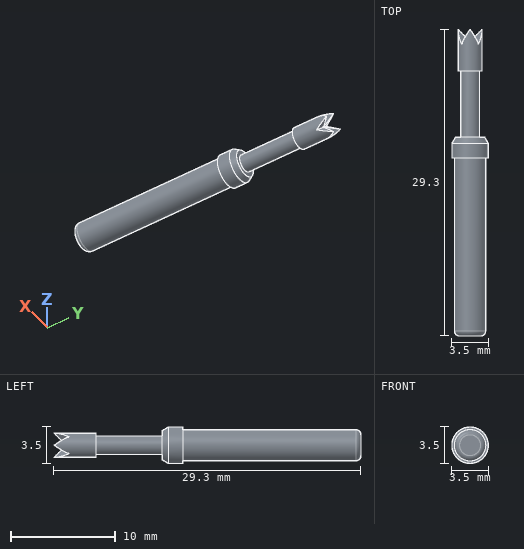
import cadquery as cq
import math

overall_length = 29.3

barrel_radius = 1.5
barrel_length = 17.0
barrel_end_fillet = 0.5

collar_radius = 1.75
collar_length = 2.0
collar_taper_length = 0.6
collar_taper_angle = 30.0

head_radius = 1.15
head_length = 4.0
plunger_radius = 0.9

groove_axis_depth = head_radius
groove_rim_depth = 1.4
groove_directions = (45.0, 135.0, 225.0, 315.0)
groove_overcut = 2.0

tip_y = overall_length - barrel_length
head_start_y = tip_y - head_length
collar_end_radius = collar_radius - collar_taper_length * math.tan(math.radians(collar_taper_angle))


def cylinder_along_y(radius, start_y, end_y):
    base = cq.Workplane("XZ", origin=(0, start_y, 0))
    return base.circle(radius).extrude(start_y - end_y)


def make_barrel():
    barrel = cylinder_along_y(barrel_radius, -barrel_length, 0)
    return barrel.faces("<Y").edges().fillet(barrel_end_fillet)


def make_collar():
    half_profile = [
        (0, 0),
        (collar_radius, 0),
        (collar_radius, collar_length - collar_taper_length),
        (collar_end_radius, collar_length),
        (0, collar_length),
    ]
    return cq.Workplane("XY").polyline(half_profile).close().revolve(360, (0, 0, 0), (0, 1, 0))


def make_groove(direction):
    """V groove running out along one diagonal, its floor sinking from the axis to the rim."""
    floor_tilt = math.atan2(groove_rim_depth - groove_axis_depth, head_radius)
    tip_offset = head_radius * math.sin(math.radians(45.0))
    depth_beside_tip = groove_axis_depth + tip_offset * math.tan(floor_tilt)
    half_width = tip_offset * groove_overcut
    height = depth_beside_tip * math.cos(floor_tilt) * groove_overcut
    v_profile = [(0, 0), (half_width, height), (-half_width, height)]

    groove = cq.Workplane("XY").polyline(v_profile).close().extrude(2 * head_radius, both=True)
    groove = groove.rotate((0, 0, 0), (1, 0, 0), math.degrees(floor_tilt))
    groove = groove.translate((0, tip_y - groove_axis_depth, 0))
    return groove.rotate((0, 0, 0), (0, 1, 0), direction)


def make_crown():
    crown = cylinder_along_y(head_radius, head_start_y, tip_y)
    for direction in groove_directions:
        crown = crown.cut(make_groove(direction))
    return crown


plunger = cylinder_along_y(plunger_radius, collar_length, head_start_y)

result = make_barrel().union(make_collar()).union(plunger).union(make_crown())